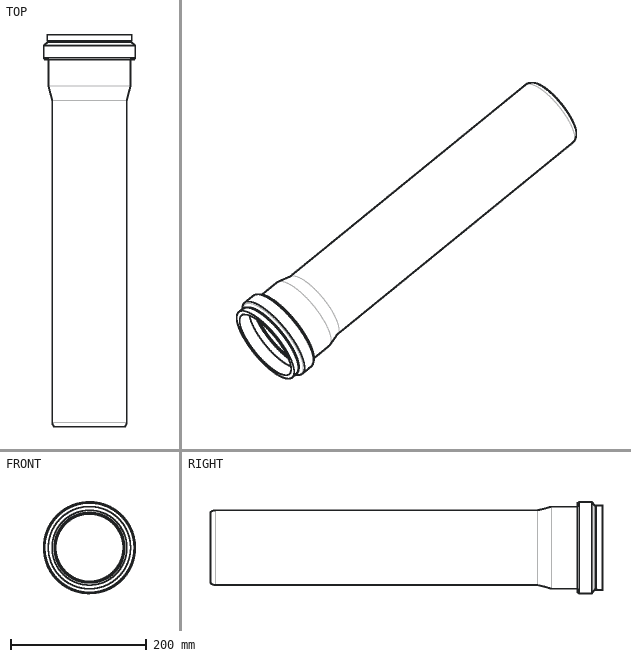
import cadquery as cq
import math

length = 580.0
pipe_diameter = 111.0
bore_diameter = 100.0
socket_diameter = 122.0
socket_bore_diameter = 112.0
lip_diameter = 125.0
neck_diameter = 123.0
band_diameter = 136.0

lip_length = 9.0
neck_end = 11.0
band_start = 14.5
band_end = 37.0
socket_depth = 76.0
taper_end = 97.0

band_chamfer_depth = 2.0
band_top_chamfer_length = 2.0
band_bottom_chamfer_length = 3.0
spigot_rounding_radius = 9.0
spigot_rim_width = 2.5

pipe_radius = pipe_diameter / 2
bore_radius = bore_diameter / 2
spigot_rim_radius = bore_radius + spigot_rim_width
socket_radius = socket_diameter / 2
socket_bore_radius = socket_bore_diameter / 2
lip_radius = lip_diameter / 2
neck_radius = neck_diameter / 2
band_radius = band_diameter / 2
socket_wall = socket_radius - socket_bore_radius
seal_groove_radius = band_radius - socket_wall

spigot_y = -length / 2
mouth_y = length / 2


def revolve_outline(outline):
    """Close a (radius, y) outline and revolve it about the Y axis."""
    return outline.close().revolve(360, (0, 0, 0), (0, 1, 0))


def make_outside():
    """Solid envelope: rounded spigot, pipe, taper, socket, seal band and lip."""
    arc_centre_radius = pipe_radius - spigot_rounding_radius
    rim_angle = math.acos((spigot_rim_radius - arc_centre_radius) / spigot_rounding_radius)
    arc_start_y = spigot_y + spigot_rounding_radius * math.sin(rim_angle)
    arc_middle = (
        arc_centre_radius + spigot_rounding_radius * math.cos(rim_angle / 2),
        arc_start_y - spigot_rounding_radius * math.sin(rim_angle / 2),
    )
    profile = (
        cq.Workplane("XY")
        .moveTo(0, spigot_y)
        .lineTo(spigot_rim_radius, spigot_y)
        .threePointArc(arc_middle, (pipe_radius, arc_start_y))
    )
    straight_corners = [
        (pipe_radius, mouth_y - taper_end),
        (socket_radius, mouth_y - socket_depth),
        (socket_radius, mouth_y - band_end),
        (band_radius - band_chamfer_depth, mouth_y - band_end),
        (band_radius, mouth_y - band_end + band_bottom_chamfer_length),
        (band_radius, mouth_y - band_start - band_top_chamfer_length),
        (band_radius - band_chamfer_depth, mouth_y - band_start),
        (neck_radius, mouth_y - neck_end),
        (neck_radius, mouth_y - lip_length),
        (lip_radius, mouth_y - lip_length),
        (lip_radius, mouth_y),
        (0, mouth_y),
    ]
    for corner in straight_corners:
        profile = profile.lineTo(*corner)
    return revolve_outline(profile)


def make_passage():
    """Inner passage: through bore, taper, socket bore and seal groove."""
    groove_bottom = mouth_y - band_end + socket_wall
    groove_top = mouth_y - band_start - socket_wall
    outline = cq.Workplane("XY").polyline([
        (0, spigot_y),
        (bore_radius, spigot_y),
        (bore_radius, mouth_y - taper_end),
        (socket_bore_radius, mouth_y - socket_depth),
        (socket_bore_radius, groove_bottom),
        (seal_groove_radius, groove_bottom),
        (seal_groove_radius, groove_top),
        (socket_bore_radius, groove_top),
        (socket_bore_radius, mouth_y),
        (0, mouth_y),
    ])
    return revolve_outline(outline)


result = make_outside().cut(make_passage())